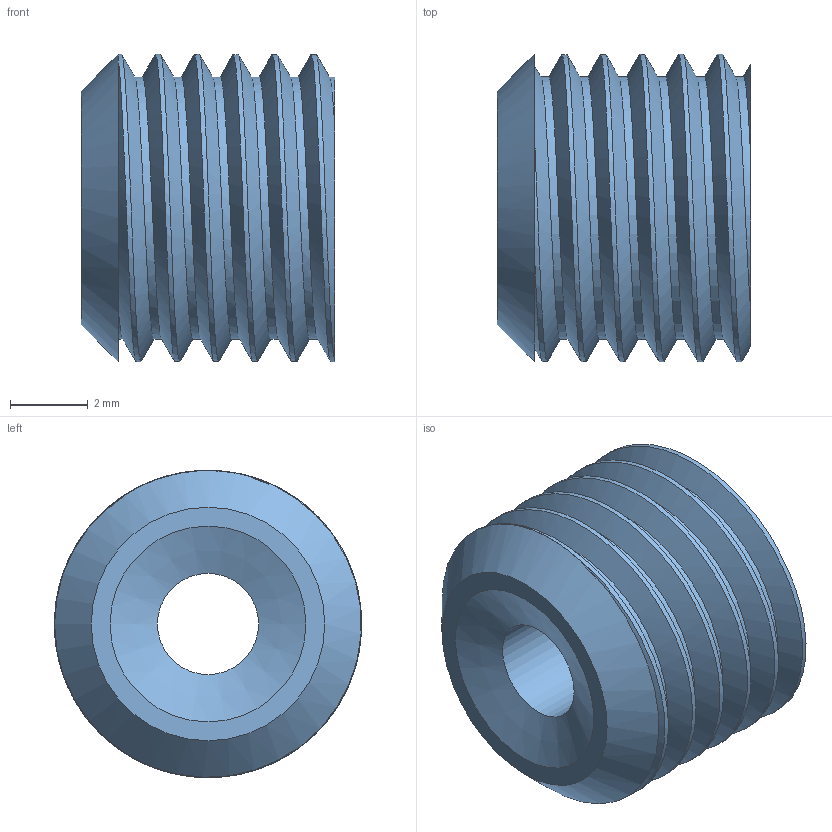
import cadquery as cq
import math

length = 6.5
nose_front_diameter = 6.0
nose_rear_diameter = 7.88
nose_length = (nose_rear_diameter - nose_front_diameter) / 2

bore_diameter = 2.6
countersink_diameter = 5.03
countersink_depth = 0.5

pitch = 1.0
crest_diameter = 7.894
root_diameter = 6.74
crest_width = pitch / 8
flank_angle = 60
first_crest_x = 1.214
root_overlap = 0.02


def make_body():
    """Revolved nose and thread core, with the bore and its countersink removed."""
    bore_radius = bore_diameter / 2
    root_radius = root_diameter / 2
    half_section = [
        (0, countersink_diameter / 2),
        (0, nose_front_diameter / 2),
        (nose_length, nose_rear_diameter / 2),
        (nose_length, root_radius),
        (length, root_radius),
        (length, bore_radius),
        (countersink_depth, bore_radius),
    ]
    return cq.Workplane("XY").polyline(half_section).close().revolve(360, (0, 0), (1, 0))


def make_thread():
    """Helical ridge, trimmed flat at the back of the nose and at the rear face."""
    crest_radius = crest_diameter / 2
    base_radius = root_diameter / 2 - root_overlap
    half_crest = crest_width / 2
    flank_width = (crest_radius - base_radius) * math.tan(math.radians(flank_angle / 2))
    half_base = half_crest + flank_width

    start_x = first_crest_x - pitch
    turns = math.ceil((length - start_x) / pitch) + 1
    helix = cq.Wire.makeHelix(pitch, turns * pitch, base_radius)
    ridge = (
        cq.Workplane("XZ")
        .polyline([
            (base_radius, -half_base),
            (crest_radius, -half_crest),
            (crest_radius, half_crest),
            (base_radius, half_base),
        ])
        .close()
        .sweep(cq.Workplane(helix), isFrenet=True)
    )

    ridge = ridge.rotate((0, 0, 0), (0, 1, 0), 90)
    ridge = ridge.rotate((0, 0, 0), (1, 0, 0), -90)
    ridge = ridge.translate((start_x, 0, 0))

    trim_radius = crest_diameter
    trim = (
        cq.Workplane("YZ", origin=(nose_length, 0, 0))
        .circle(trim_radius)
        .extrude(length - nose_length)
    )
    return ridge.intersect(trim)


result = make_body().union(make_thread()).solids()